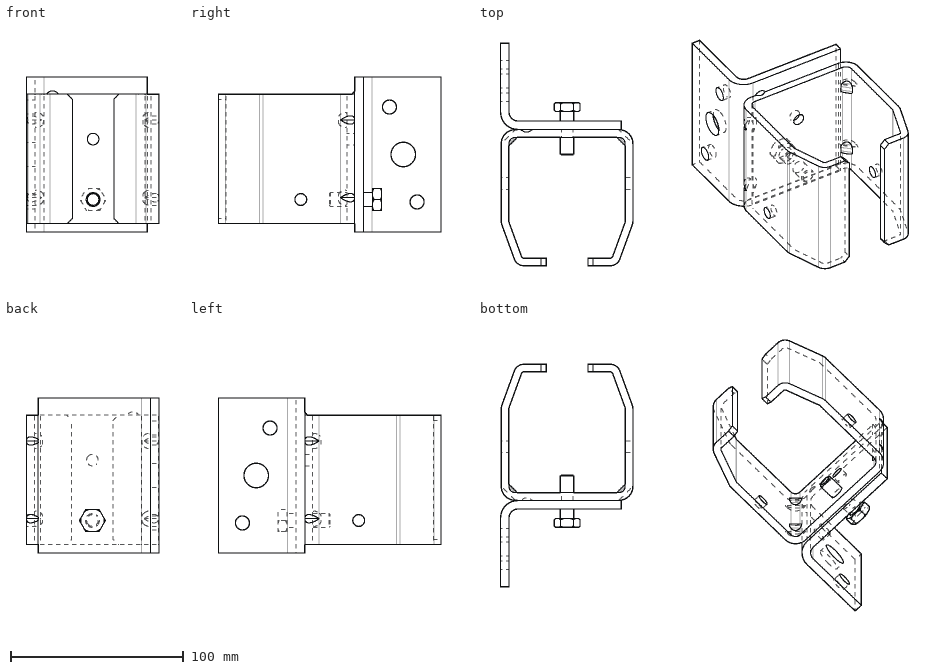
import cadquery as cq
import math

total_length = 129.0

bracket_width = 70.0
bracket_height = 90.0
bracket_thickness = 5.0
bracket_bend_radius = 10.0
mounting_leg_length = 50.0

channel_width = 76.4
channel_height = 75.0
channel_base = 5.0
channel_offset = 0.4
wall = 4.5
back_bend_radius = 8.3
front_bend_radius = 6.0
knee_y = 24.8
taper_angle = 20.0
mouth_width = 24.0
lip_chamfer = 3.0

mounting_hole_diameter = 14.0
fixing_hole_diameter = 8.0
mounting_hole_end_distance = 21.9
fixing_hole_shift_y = 8.0
fixing_hole_shift_z = 27.5
channel_hole_diameter = 6.7
side_hole_y = 47.7
back_hole_z = 53.9

bolt_z = 19.0
bolt_diameter = 8.0
bolt_tip_y = 64.2
bolt_tip_chamfer = 0.6
bolt_head_across_flats = 13.0
bolt_head_thickness = 5.2
bolt_head_chamfer = 0.8
bolt_head_gap = 5.4

dent_end_distance = 15.0
dent_sheet = 4.0
rib_flat_width = 2.6
rib_fillet = 3.0
rib_flank_angle = 45.0

bump_diameter = 8.0
bump_height = 3.2
bump_x = 15.1
bump_z = 77.9

contact_y = total_length - mounting_leg_length
bracket_front_y = contact_y + bracket_thickness
channel_right = channel_offset + channel_width
channel_center_x = channel_offset + channel_width / 2
channel_top = channel_base + channel_height


def cylinder_along_y(diameter, x, z, y_start, y_end):
    axis = cq.Vector(0, 1, 0)
    start = cq.Vector(x, y_start, z)
    return cq.Workplane(cq.Solid.makeCylinder(diameter / 2, y_end - y_start, start, axis))


def cylinder_along_x(diameter, y, z, x_start, x_end):
    axis = cq.Vector(1, 0, 0)
    start = cq.Vector(x_start, y, z)
    return cq.Workplane(cq.Solid.makeCylinder(diameter / 2, x_end - x_start, start, axis))


def make_bracket():
    bracket = (
        cq.Workplane("XY")
        .moveTo(0, total_length)
        .lineTo(0, contact_y)
        .lineTo(bracket_width, contact_y)
        .lineTo(bracket_width, bracket_front_y)
        .lineTo(bracket_thickness, bracket_front_y)
        .lineTo(bracket_thickness, total_length)
        .close()
        .extrude(bracket_height)
    )
    middle_z = bracket_height / 2
    outer_corner = cq.selectors.NearestToPointSelector((0, contact_y, middle_z))
    inner_corner = cq.selectors.NearestToPointSelector((bracket_thickness, bracket_front_y, middle_z))
    bracket = bracket.edges(outer_corner).fillet(bracket_bend_radius)
    bracket = bracket.edges(inner_corner).fillet(bracket_bend_radius - bracket_thickness)

    hole_y = total_length - mounting_hole_end_distance
    bracket = bracket.cut(cylinder_along_x(mounting_hole_diameter, hole_y, middle_z, 0, bracket_thickness))
    for side in (-1, 1):
        y = hole_y - side * fixing_hole_shift_y
        z = middle_z + side * fixing_hole_shift_z
        bracket = bracket.cut(cylinder_along_x(fixing_hole_diameter, y, z, 0, bracket_thickness))
    return bracket


def make_channel_envelope():
    """Channel outline as a filled block with its outer bends rounded."""
    taper = knee_y * math.tan(math.radians(taper_angle))
    outline = [
        (channel_offset, contact_y),
        (channel_offset, knee_y),
        (channel_offset + taper, 0),
        (channel_right - taper, 0),
        (channel_right, knee_y),
        (channel_right, contact_y),
    ]
    block = cq.Workplane("XY", origin=(0, 0, channel_base)).polyline(outline).close().extrude(channel_height)
    block = block.edges("|Z and (not >Y)").fillet(front_bend_radius)
    return block.edges("|Z and >Y").fillet(back_bend_radius)


def make_mouth():
    """Opening between the lips, flared at 45 degrees at both ends of the channel."""
    half = mouth_width / 2
    flared = half + lip_chamfer
    bottom = channel_base
    top = channel_top
    outline = [
        (-flared, bottom),
        (flared, bottom),
        (half, bottom + lip_chamfer),
        (half, top - lip_chamfer),
        (flared, top),
        (-flared, top),
        (-half, top - lip_chamfer),
        (-half, bottom + lip_chamfer),
    ]
    plane = cq.Workplane("XZ", origin=(channel_center_x, 0, 0))
    return plane.polyline(outline).close().extrude(-wall)


def dent_plane(side, z):
    """Plane across a back corner: local x points out of the corner, local y along the channel.

    Its origin is the middle of the chord that joins the two ends of the outer bend.
    """
    x = channel_center_x + side * (channel_width - back_bend_radius) / 2
    y = contact_y - back_bend_radius / 2
    return cq.Plane(origin=(x, y, z), xDir=(side, 1, 0), normal=(1, -side, 0))


def make_dent_groove(plane):
    """Right-angled V groove with its root on the chord of the bend."""
    depth = back_bend_radius
    groove = cq.Workplane(plane).polyline([(0, 0), (depth, depth), (depth, -depth)]).close()
    return groove.extrude(back_bend_radius, both=True)


def make_dent_rib(plane):
    """Flat-topped rib with rounded shoulders and sloping flanks on the inside of the bend."""
    half_flat = rib_flat_width / 2
    turn = math.radians(rib_flank_angle)

    def shoulder(angle):
        return (-dent_sheet + rib_fillet * (1 - math.cos(angle)), half_flat + rib_fillet * math.sin(angle))

    middle = shoulder(turn / 2)
    end = shoulder(turn)
    root = (0, end[1] - end[0] / math.tan(turn))
    rib = (
        cq.Workplane(plane)
        .moveTo(-dent_sheet, -half_flat)
        .lineTo(-dent_sheet, half_flat)
        .threePointArc(middle, end)
        .lineTo(*root)
        .lineTo(root[0], -root[1])
        .lineTo(end[0], -end[1])
        .threePointArc((middle[0], -middle[1]), (-dent_sheet, -half_flat))
        .close()
    )
    return rib.extrude(back_bend_radius, both=True)


def make_channel():
    envelope = make_channel_envelope()
    channel = envelope.faces("|Z").shell(-wall)
    channel = channel.cut(make_mouth())

    for side in (-1, 1):
        for z in (channel_base + dent_end_distance, channel_top - dent_end_distance):
            plane = dent_plane(side, z)
            channel = channel.union(make_dent_rib(plane).intersect(envelope))
            channel = channel.cut(make_dent_groove(plane))

    channel = channel.cut(cylinder_along_x(channel_hole_diameter, side_hole_y, bolt_z, 0, channel_right))
    back_hole = cylinder_along_y(
        channel_hole_diameter, channel_center_x, back_hole_z, contact_y - wall, contact_y
    )
    return channel.cut(back_hole)


def make_bolt():
    head_y = bracket_front_y + bolt_head_gap
    shank = cylinder_along_y(bolt_diameter, channel_center_x, bolt_z, bolt_tip_y, head_y)
    shank = shank.faces("<Y").chamfer(bolt_tip_chamfer)

    across_corners = bolt_head_across_flats / math.cos(math.radians(30))
    head_start = cq.Workplane("XZ", origin=(channel_center_x, head_y, bolt_z))
    head = head_start.polygon(6, across_corners).extrude(-bolt_head_thickness)
    corner_rounding = head_start.circle(across_corners / 2).extrude(-bolt_head_thickness)
    corner_rounding = corner_rounding.faces("|Y").chamfer(bolt_head_chamfer)
    return shank.union(head.intersect(corner_rounding))


def make_bump():
    base_center = cq.Vector(bump_x, contact_y, bump_z)
    axis = cq.Vector(0, -1, 0)
    return cq.Workplane(cq.Solid.makeCone(bump_diameter / 2, 0, bump_height, base_center, axis))


result = make_bracket().union(make_channel()).union(make_bolt()).union(make_bump())